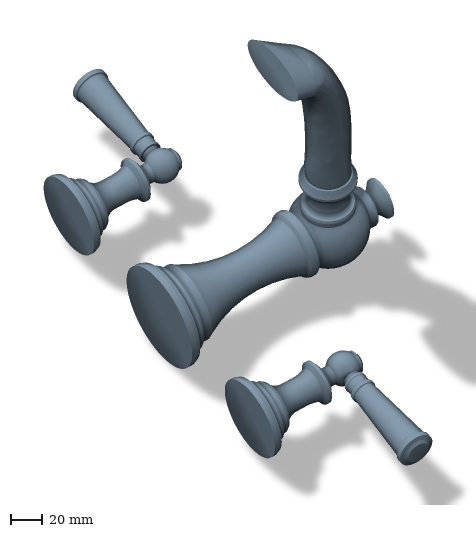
import cadquery as cq
import math


FLANGE_RADIUS = 36.7
STAND_WAIST_RADIUS = 14.5
STAND_WAIST_Y = 66.8
COLLAR_RADIUS = 23.5
COLLAR_START_Y = 102.7
BALL_RADIUS = 27.0
BALL_Y = 131.0
BALL_NECK_RADIUS = 20.0
OVERALL_DEPTH = 175.8
KNOB_RADIUS = 14.0
KNOB_NECK_RADIUS = 6.3
SPOUT_START_Z = 55.3
SPOUT_RADIUS = 15.0
COLUMN_NECK_RADIUS = 13.5

OVERALL_WIDTH = 371.0
HANDLE_X = 101.2
HANDLE_FLANGE_RADIUS = 28.0
POST_WAIST_RADIUS = 10.0
HANDLE_BALL_RADIUS = 11.5
HANDLE_BALL_Y = 72.3
LEVER_TIP = OVERALL_WIDTH / 2 - HANDLE_X
LEVER_END_RADIUS = 12.5
LEVER_COLLAR_RADIUS = 8.5
LEVER_NECK_RADIUS = 6.0
POST_NECK_RADIUS = 6.5
CAP_RADIUS = 7.8
CAP_TOP_Y = 84.5


class TurnedProfile:
    """Half outline of a turned shape, as (radius, height) points up its axis."""

    def __init__(self, start_height):
        self.end = (0, start_height)
        self.outline = cq.Workplane("XY").moveTo(*self.end)

    def line(self, *points):
        for point in points:
            self.outline = self.outline.lineTo(*point)
            self.end = point
        return self

    def cove(self, radius, height):
        """Concave arc to a point, parallel to the axis at its narrower end."""
        narrow, wide = sorted([self.end, (radius, height)])
        widening = wide[0] - narrow[0]
        rise = wide[1] - narrow[1]
        arc_radius = (widening**2 + rise**2) / (2 * widening)
        half_angle = math.atan2(rise, arc_radius - widening) / 2
        middle = (
            narrow[0] + arc_radius * (1 - math.cos(half_angle)),
            narrow[1] + arc_radius * math.sin(half_angle),
        )
        return self.arc(middle, (radius, height))

    def arc(self, middle, end):
        """Arc through a middle point to an end point."""
        self.outline = self.outline.threePointArc(middle, end)
        self.end = end
        return self

    def dome(self, top_height):
        """Convex spherical end, square to the axis at its top."""
        rim_radius, rim_height = self.end
        half_angle = math.atan2(top_height - rim_height, rim_radius)
        sphere_radius = rim_radius / math.sin(2 * half_angle)
        middle = (
            sphere_radius * math.sin(half_angle),
            top_height - sphere_radius * (1 - math.cos(half_angle)),
        )
        return self.arc(middle, (0, top_height))

    def turned(self):
        """Solid of revolution about the Y axis."""
        if self.end[0] > 0:
            self.line((0, self.end[1]))
        return self.outline.close().revolve(360, (0, 0, 0), (0, 1, 0))


def ball(radius, y):
    return cq.Workplane("XY").sphere(radius).translate((0, y, 0))


def spout_stand():
    """Wall flange, trumpet stand and collar, ending at the center of the ball."""
    profile = TurnedProfile(0)
    profile.line((FLANGE_RADIUS, 0), (FLANGE_RADIUS, 4.0), (35.5, 7.0))
    profile.cove(30.5, 11.0)
    profile.line((30.5, 13.0), (29.3, 14.5), (27.0, 14.5), (27.0, 22.0), (25.2, 25.2))
    profile.arc((STAND_WAIST_RADIUS, STAND_WAIST_Y), (20.5, 101.0))
    profile.line((22.5, COLLAR_START_Y), (COLLAR_RADIUS, 104.5), (COLLAR_RADIUS, 107.5), (22.5, 108.5))
    profile.line((BALL_NECK_RADIUS, 109.8), (BALL_NECK_RADIUS, BALL_Y))
    return profile.turned()


def pull_knob():
    """Ring, neck and flared button on the back of the ball."""
    profile = TurnedProfile(BALL_Y)
    profile.line((13.0, BALL_Y), (13.0, 154.0), (KNOB_RADIUS, 155.0), (KNOB_RADIUS, 160.0), (13.5, 161.0))
    profile.line((KNOB_NECK_RADIUS, 161.0), (KNOB_NECK_RADIUS, 163.5))
    profile.line((KNOB_RADIUS, 170.5), (KNOB_RADIUS, 172.5))
    profile.dome(OVERALL_DEPTH)
    return profile.turned()


def spout_column():
    """Turned column that carries the spout on top of the ball."""
    profile = TurnedProfile(0)
    profile.line((17.8, 0), (17.8, 24.0), (17.0, 26.0))
    profile.cove(13.7, 30.0)
    profile.line((COLUMN_NECK_RADIUS, 33.5))
    profile.cove(14.5, 43.5)
    profile.line((19.0, 48.0), (19.0, 49.7), (17.8, 51.5), (16.0, SPOUT_START_Z))
    return profile.turned().rotate((0, 0, 0), (1, 0, 0), 90).translate((0, BALL_Y, 0))


def spout_section(back, front, half_width):
    """Elliptical wire between a back and a front (y, z) point, widest across X."""
    center = cq.Vector(0, (back[0] + front[0]) / 2, (back[1] + front[1]) / 2)
    across = cq.Vector(0, back[0] - front[0], back[1] - front[1])
    normal = cq.Vector(1, 0, 0).cross(across)
    plane = cq.Plane(origin=center, xDir=(1, 0, 0), normal=normal)
    return cq.Workplane(plane).ellipse(half_width, across.Length / 2).wires().val()


def spout():
    """Bent tube that widens into a flat elliptical outlet."""
    back_y = BALL_Y + SPOUT_RADIUS
    front_y = BALL_Y - SPOUT_RADIUS
    bend_end = spout_section((108.5, 188.0), (99.5, 165.8), 23.5)
    bend = [
        spout_section((back_y, SPOUT_START_Z), (front_y, SPOUT_START_Z), SPOUT_RADIUS),
        spout_section((back_y, 85.0), (front_y, 79.5), SPOUT_RADIUS),
        spout_section((back_y, 104.2), (front_y, 94.2), SPOUT_RADIUS),
        spout_section((144.3, 123.5), (115.5, 110.0), SPOUT_RADIUS),
        spout_section((134.2, 157.0), (112.7, 138.0), 16.7),
        spout_section((125.0, 174.5), (107.5, 154.0), 19.0),
        bend_end,
    ]
    outlet = spout_section((91.2, 199.5), (85.0, 176.0), 27.8)
    tube = cq.Workplane(cq.Solid.makeLoft(bend))
    mouth = cq.Workplane(cq.Solid.makeLoft([bend_end, outlet], True))
    return tube.union(mouth)


def spout_body():
    body = spout_stand().union(ball(BALL_RADIUS, BALL_Y)).union(pull_knob())
    return body.union(spout_column()).union(spout())


def handle_post():
    """Wall flange and turned post, up to the ball and its top cap."""
    profile = TurnedProfile(0)
    profile.line((HANDLE_FLANGE_RADIUS, 0), (HANDLE_FLANGE_RADIUS, 3.0), (27.0, 6.0))
    profile.cove(21.5, 10.8)
    profile.line((21.0, 12.0), (18.5, 12.0), (18.5, 16.7), (17.0, 19.0))
    profile.cove(POST_WAIST_RADIUS, 30.5)
    profile.line((POST_WAIST_RADIUS, 39.0))
    profile.cove(12.0, 48.5)
    profile.line((15.2, 50.8), (15.2, 53.0), (12.0, 55.3), (8.5, 57.0), (POST_NECK_RADIUS, 58.0))
    profile.line((POST_NECK_RADIUS, HANDLE_BALL_Y), (CAP_RADIUS, HANDLE_BALL_Y))
    profile.line((CAP_RADIUS, 82.5), (4.5, CAP_TOP_Y))
    return profile.turned()


def lever():
    """Tapered lever along +Y from the ball center at the origin."""
    profile = TurnedProfile(0)
    profile.line((LEVER_NECK_RADIUS, 0), (LEVER_NECK_RADIUS, 13.0), (7.8, 13.0), (7.8, 15.0))
    profile.line((7.5, 15.2), (7.5, 20.8), (LEVER_COLLAR_RADIUS, 21.0), (LEVER_COLLAR_RADIUS, 23.7))
    profile.line((7.8, 24.0), (11.5, 78.0), (LEVER_END_RADIUS, 78.2), (LEVER_END_RADIUS, 81.5))
    profile.line((9.5, 82.7), (7.8, LEVER_TIP))
    return profile.turned()


def handle(side):
    """One handle; side is -1 for the left and 1 for the right, its lever pointing outward."""
    arm = lever().rotate((0, 0, 0), (0, 0, 1), -90 * side).translate((0, HANDLE_BALL_Y, 0))
    body = handle_post().union(ball(HANDLE_BALL_RADIUS, HANDLE_BALL_Y)).union(arm)
    return body.translate((side * HANDLE_X, 0, 0))


handles = [handle(side).val() for side in (-1, 1)]
result = cq.Compound.makeCompound([spout_body().val(), *handles])